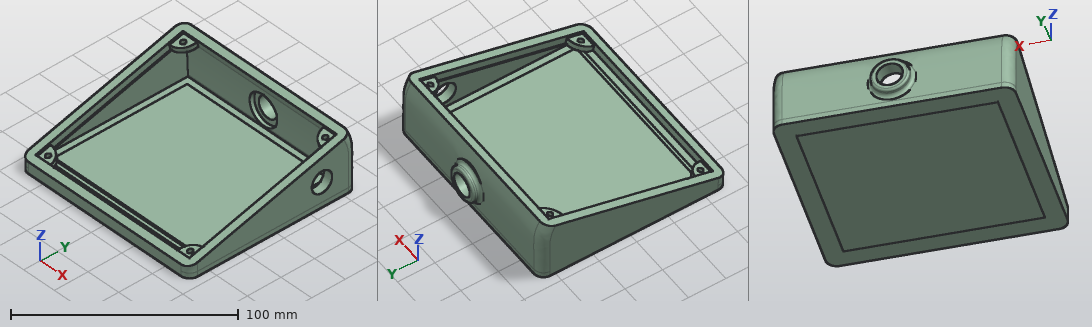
import cadquery as cq
import math

WIDTH = 110.0
DEPTH = 99.9
FRONT_HEIGHT = 6.6
TOP_ANGLE = 15.0
CORNER_RADIUS = 5.2
WALL = 5.4

ARC_START = 21.6
BACK_ARC_RADIUS = 20.8
FLAT_STEPS = 4
ARC_STEPS = 3

FOOT_HEIGHT = 3.0
FLOOR_TOP = 5.2
LOW_FLOOR_TOP = 4.1
FLOOR_STEP_Y = 11.7
LEDGE = 3.8

BACK_WALL_BEND = 6.3

RIM_WIDTH = 4.8
RECESS_DEPTH = 4.4
TAB_DEPTH = 1.3
TAB_RADIUS = 8.8
SCREW_DIAMETER = 2.8
SCREW_INSET = 3.7

CABLE_HEIGHT = 15.0
CABLE_DIAMETER = 12.0
OUTLET_DIAMETER = 18.0
OUTLET_LENGTH = 4.1
OUTLET_FLARE = 2.0
OUTLET_EDGE = 1.1
COUNTERBORE_DEPTH = 2.5
SIDE_HOLE_Y = 79.1
SIDE_HOLE_HEIGHT = 14.1

SLOPE = math.tan(math.radians(TOP_ANGLE))
ARC_CENTRE_Y = DEPTH - BACK_ARC_RADIUS
CUT_MARGIN = 1.1


def top_height(y):
    """Height of the sloping rim plane at depth y."""
    return FRONT_HEIGHT + SLOPE * y


def arc_top_angle():
    """Angle up the back arc, from horizontal, where it meets the rim plane."""
    tilt = math.radians(TOP_ANGLE)
    rise = (top_height(ARC_CENTRE_Y) - ARC_START) * math.cos(tilt)
    return tilt + math.asin(rise / BACK_ARC_RADIUS)


def arc_point(angle):
    """Point (y, z) on the back arc at the given angle from horizontal."""
    return (
        ARC_CENTRE_Y + BACK_ARC_RADIUS * math.cos(angle),
        ARC_START + BACK_ARC_RADIUS * math.sin(angle),
    )


RIM_LENGTH = arc_point(arc_top_angle())[0] / math.cos(math.radians(TOP_ANGLE))


def rim_plane(depth):
    """Plane parallel to the rim, the given depth below it; local y runs up the slope."""
    tilt = math.radians(TOP_ANGLE)
    normal = (0, -math.sin(tilt), math.cos(tilt))
    origin = (0, depth * math.sin(tilt), FRONT_HEIGHT - depth * math.cos(tilt))
    return cq.Plane(origin=origin, xDir=(1, 0, 0), normal=normal)


def make_section(front_height, back):
    """Rounded rectangle from the front face, at the given height, to a point (y, z) on the back."""
    back_y, back_height = back
    rise = back_height - front_height
    length = math.hypot(back_y, rise)
    centre = (WIDTH / 2, back_y / 2, (front_height + back_height) / 2)
    plane = cq.Plane(origin=centre, xDir=(1, 0, 0), normal=(0, -rise, back_y))
    outline = cq.Sketch().rect(WIDTH, length).vertices().fillet(CORNER_RADIUS)
    return outline.reset().faces().val().outerWire().moved(plane.location)


def make_shell_blank():
    """Straight foot, then a smooth body whose cross-section tilts gradually to the rim plane."""
    end = arc_top_angle()
    flat_rise = ARC_START - FOOT_HEIGHT
    backs = [(DEPTH, FOOT_HEIGHT + flat_rise * step / FLAT_STEPS) for step in range(FLAT_STEPS)]
    backs += [arc_point(end * step / ARC_STEPS) for step in range(ARC_STEPS + 1)]
    back_rise = backs[-1][1] - FOOT_HEIGHT
    wires = []
    for back in backs:
        progress = (back[1] - FOOT_HEIGHT) / back_rise
        front_height = FOOT_HEIGHT + progress * (FRONT_HEIGHT - FOOT_HEIGHT)
        wires.append(make_section(front_height, back))
    body = cq.Workplane(cq.Solid.makeLoft(wires))
    foot = (
        cq.Workplane("XY")
        .rect(WIDTH, DEPTH, centered=False)
        .extrude(FOOT_HEIGHT)
        .edges("|Z")
        .fillet(CORNER_RADIUS)
    )
    return foot.union(body)


def make_cavity():
    """Wedge-shaped space between the stepped floor and the recess, with an arched back wall."""
    recess_plane = rim_plane(RECESS_DEPTH)
    front = recess_plane.origin.y + (LOW_FLOOR_TOP - recess_plane.origin.z) / SLOPE
    top = recess_plane.toWorldCoords((0, RIM_LENGTH - RIM_WIDTH, 0))
    overlap = rim_plane(RECESS_DEPTH - CUT_MARGIN).toWorldCoords((0, RIM_LENGTH - RIM_WIDTH, 0))
    inner_back = DEPTH - WALL
    return (
        cq.Workplane("YZ", origin=(WALL, 0, 0))
        .moveTo(front, LOW_FLOOR_TOP)
        .lineTo(FLOOR_STEP_Y, LOW_FLOOR_TOP)
        .lineTo(FLOOR_STEP_Y, FLOOR_TOP)
        .lineTo(inner_back, FLOOR_TOP)
        .lineTo(inner_back, BACK_WALL_BEND)
        .tangentArcPoint((top.y, top.z), relative=False)
        .lineTo(overlap.y, overlap.z)
        .lineTo(front, LOW_FLOOR_TOP + CUT_MARGIN)
        .close()
        .extrude(WIDTH - 2 * WALL)
    )


def make_recess():
    """Rectangular space square to the sloping rim, stopped at the front strip of the floor."""
    recess = (
        cq.Workplane(rim_plane(RECESS_DEPTH))
        .moveTo(RIM_WIDTH, RIM_WIDTH)
        .rect(WIDTH - 2 * RIM_WIDTH, RIM_LENGTH - 2 * RIM_WIDTH, centered=False)
        .extrude(RECESS_DEPTH + CUT_MARGIN)
    )
    below_floor = cq.Workplane("XY").rect(WIDTH, DEPTH, centered=False).extrude(LOW_FLOOR_TOP)
    return recess.cut(below_floor)


def make_floor_panel():
    """Separate floor panel with the same front step as the floor around it."""
    return make_panel_space().cut(make_cavity()).solids()


def make_panel_space():
    """Rectangular opening through the floor of the housing."""
    inset = WALL + LEDGE
    return (
        cq.Workplane("XY")
        .moveTo(inset, inset)
        .rect(WIDTH - 2 * inset, DEPTH - 2 * inset, centered=False)
        .extrude(FLOOR_TOP)
    )


def inset_corners(inset):
    """Four corners of the rim rectangle, moved in by the given distance."""
    return [(x, y) for x in (inset, WIDTH - inset) for y in (inset, RIM_LENGTH - inset)]


def make_screw_tabs():
    """Quarter discs in the recess corners, each with a screw hole."""
    plane = rim_plane(RECESS_DEPTH)
    height = RECESS_DEPTH - TAB_DEPTH
    corners = inset_corners(RIM_WIDTH)
    screws = inset_corners(RIM_WIDTH + SCREW_INSET)
    discs = cq.Workplane(plane).pushPoints(corners).circle(TAB_RADIUS).extrude(height)
    holes = cq.Workplane(plane).pushPoints(screws).circle(SCREW_DIAMETER / 2).extrude(height)
    return discs.intersect(make_recess()).cut(holes)


def back_cylinder(diameter, start, end):
    """Cylinder along Y on the cable outlet axis."""
    plane = cq.Plane(origin=(WIDTH / 2, start, CABLE_HEIGHT), xDir=(1, 0, 0), normal=(0, 1, 0))
    return cq.Workplane(plane).circle(diameter / 2).extrude(end - start)


def make_outlet():
    """Collar turned about Y, flared where it joins the back wall."""
    radius = OUTLET_DIAMETER / 2
    root = radius + OUTLET_FLARE
    bend = OUTLET_FLARE * (1 - math.sqrt(0.5))
    edge_bend = OUTLET_EDGE * (1 - math.sqrt(0.5))
    return (
        cq.Workplane("XY", origin=(WIDTH / 2, DEPTH, CABLE_HEIGHT))
        .moveTo(0, -WALL / 2)
        .lineTo(root, -WALL / 2)
        .lineTo(root, 0)
        .threePointArc((radius + bend, bend), (radius, OUTLET_FLARE))
        .lineTo(radius, OUTLET_LENGTH - OUTLET_EDGE)
        .threePointArc(
            (radius - edge_bend, OUTLET_LENGTH - edge_bend),
            (radius - OUTLET_EDGE, OUTLET_LENGTH),
        )
        .lineTo(0, OUTLET_LENGTH)
        .close()
        .revolve(360, (0, 0, 0), (0, 1, 0))
    )


def make_side_hole():
    """Round hole through the right wall."""
    return (
        cq.Workplane("YZ", origin=(WIDTH - WALL - CUT_MARGIN, SIDE_HOLE_Y, SIDE_HOLE_HEIGHT))
        .circle(CABLE_DIAMETER / 2)
        .extrude(WALL + 2 * CUT_MARGIN)
    )


def make_housing():
    """Open-topped sloping case with screw tabs, cable outlet and side hole."""
    inner_back = DEPTH - WALL
    housing = make_shell_blank().union(make_outlet())
    housing = housing.cut(make_cavity()).cut(make_recess())
    housing = housing.cut(make_panel_space())
    housing = housing.union(make_screw_tabs())
    housing = housing.cut(back_cylinder(CABLE_DIAMETER, inner_back - CUT_MARGIN, DEPTH + OUTLET_LENGTH))
    counterbore_end = inner_back + COUNTERBORE_DEPTH
    housing = housing.cut(back_cylinder(OUTLET_DIAMETER, inner_back - CUT_MARGIN, counterbore_end))
    return housing.cut(make_side_hole()).solids()


housing = make_housing()
floor_panel = make_floor_panel()
result = cq.Compound.makeCompound([housing.val(), floor_panel.val()])